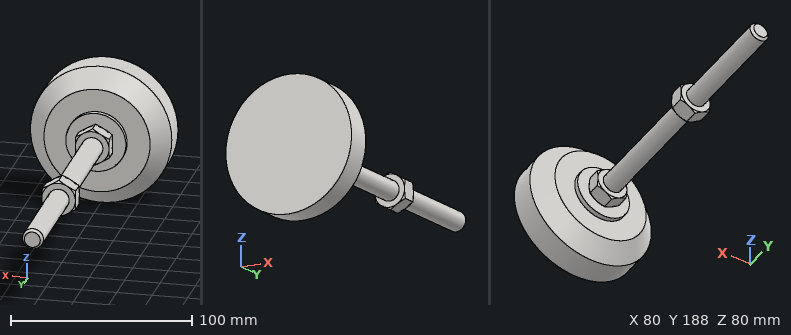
import cadquery as cq
import math

TOTAL_LENGTH = 188.0

PAD_DIAMETER = 80.0
PAD_RIM_HEIGHT = 16.0
CONE_HEIGHT = 10.0
CONE_TOP_DIAMETER = 60.0
PAD_HEIGHT = PAD_RIM_HEIGHT + CONE_HEIGHT

FLANGE_DIAMETER = 34.0
FLANGE_HEIGHT = 3.0
FLANGE_TOP = PAD_HEIGHT + FLANGE_HEIGHT

ROD_DIAMETER = 12.0
ROD_CHAMFER = 1.5

NUT_ACROSS_FLATS = 19.0
NUT_ACROSS_CORNERS = NUT_ACROSS_FLATS / math.cos(math.pi / 6)
NUT_CHAMFER_ANGLE = math.radians(30)
BASE_NUT_HEIGHT = 9.0
LOCK_NUT_HEIGHT = 10.0
LOCK_NUT_START = 112.25


def make_turned_body():
    """Pad, flange and rod as one profile revolved about the Y axis."""
    pad_radius = PAD_DIAMETER / 2
    cone_top_radius = CONE_TOP_DIAMETER / 2
    flange_radius = FLANGE_DIAMETER / 2
    rod_radius = ROD_DIAMETER / 2
    profile = [
        (0, 0),
        (-pad_radius, 0),
        (-pad_radius, PAD_RIM_HEIGHT),
        (-cone_top_radius, PAD_HEIGHT),
        (-flange_radius, PAD_HEIGHT),
        (-flange_radius, FLANGE_TOP),
        (-rod_radius, FLANGE_TOP),
        (-rod_radius, TOTAL_LENGTH - ROD_CHAMFER),
        (-(rod_radius - ROD_CHAMFER), TOTAL_LENGTH),
        (0, TOTAL_LENGTH),
    ]
    return cq.Workplane("XY").polyline(profile).close().revolve(360, (0, 0, 0), (0, 1, 0))


def make_nut(start, height):
    """Hexagon nut body from Y = start, its corners cut back by a cone at both ends."""
    end = start + height
    corner_radius = NUT_ACROSS_CORNERS / 2
    face_radius = NUT_ACROSS_FLATS / 2
    chamfer_height = (corner_radius - face_radius) * math.tan(NUT_CHAMFER_ANGLE)
    hexagon = (
        cq.Workplane("XZ", origin=(0, start, 0))
        .transformed(rotate=(0, 0, 90))
        .polygon(6, NUT_ACROSS_CORNERS)
        .extrude(-height)
    )
    chamfer_envelope = (
        cq.Workplane("XY")
        .polyline([
            (0, start),
            (face_radius, start),
            (corner_radius, start + chamfer_height),
            (corner_radius, end - chamfer_height),
            (face_radius, end),
            (0, end),
        ])
        .close()
        .revolve(360, (0, 0, 0), (0, 1, 0))
    )
    return hexagon.intersect(chamfer_envelope)


base_nut = make_nut(FLANGE_TOP, BASE_NUT_HEIGHT)
lock_nut = make_nut(LOCK_NUT_START, LOCK_NUT_HEIGHT)
result = make_turned_body().union(base_nut).union(lock_nut)